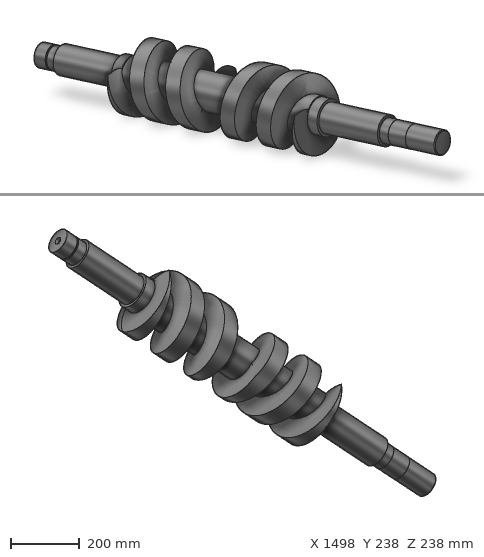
import cadquery as cq

shaft_length = 1498.0
left_shoulder = 80.0
left_collar_start = 303.0
right_journal_end = 1291.0
right_seat_start = 1324.0
right_tip_start = 1388.0
end_diameter = 78.0
seat_step = 0.3
tip_chamfer = 3.0
journal_diameter = 96.0
collar_diameter = 114.0
core_diameter = 120.0

ring_groove_start = 42.0
ring_groove_width = 5.0
ring_groove_depth = 1.0

centre_mouth_diameter = 22.0
centre_pilot_diameter = 9.0
centre_cone_depth = 7.0
centre_pilot_depth = 18.0

worm_start = 338.0
worm_length = 297.0
worm_gap = 105.0
worm_diameter = 238.0
worm_pitch = 135.0
crest_half = 27.0
shallow_root_half = 45.0
steep_root_half = 35.0
helix_turns = 5
turns_to_phase = 2.75
root_overlap = 5.0
phase_station = 451.0

seat_diameter = end_diameter - 2 * seat_step
tip_diameter = seat_diameter - 2 * seat_step
core_length = 2 * worm_length + worm_gap
core_end = worm_start + core_length
middle = worm_start + core_length / 2
right_collar_end = core_end + worm_start - left_collar_start


def cylinder(start, end, diameter):
    """Solid cylinder on the X axis between two stations."""
    return cq.Workplane("YZ", origin=(start, 0, 0)).circle(diameter / 2).extrude(end - start)


def stepped_shaft():
    """Plain turned shaft with its right tip chamfered."""
    steps = [
        (0, left_shoulder, end_diameter),
        (left_shoulder, left_collar_start, journal_diameter),
        (left_collar_start, worm_start, collar_diameter),
        (worm_start, core_end, core_diameter),
        (core_end, right_collar_end, collar_diameter),
        (right_collar_end, right_journal_end, journal_diameter),
        (right_journal_end, right_seat_start, end_diameter),
        (right_seat_start, right_tip_start, seat_diameter),
        (right_tip_start, shaft_length, tip_diameter),
    ]
    shaft = cylinder(*steps[0])
    for step in steps[1:]:
        shaft = shaft.union(cylinder(*step))
    return shaft.faces(">X").chamfer(tip_chamfer)


def left_thread():
    """Right-handed buttress thread, trimmed square at both ends of its section."""
    core_radius = core_diameter / 2
    worm_radius = worm_diameter / 2
    root_radius = core_radius - root_overlap
    overlap_ratio = root_overlap / (worm_radius - core_radius)
    shallow_base = shallow_root_half + (shallow_root_half - crest_half) * overlap_ratio
    steep_base = steep_root_half + (steep_root_half - crest_half) * overlap_ratio

    helix_height = helix_turns * worm_pitch
    helix = cq.Wire.makeHelix(worm_pitch, helix_height, core_radius)
    thread = (
        cq.Workplane("XZ")
        .polyline([
            (root_radius, -shallow_base),
            (worm_radius, -crest_half),
            (worm_radius, crest_half),
            (root_radius, steep_base),
        ])
        .close()
        .sweep(cq.Workplane(helix), isFrenet=True)
    )
    thread = thread.rotate((0, 0, 0), (0, 1, 0), 90)
    thread = thread.translate((phase_station - turns_to_phase * worm_pitch, 0, 0))
    section = cq.Workplane("XY").box(worm_length, 2 * worm_diameter, 2 * worm_diameter)
    return thread.intersect(section.translate((worm_start + worm_length / 2, 0, 0)))


def ring_groove():
    """Shallow ring to remove near the left end."""
    groove_end = ring_groove_start + ring_groove_width
    groove_floor = cylinder(ring_groove_start, groove_end, end_diameter - 2 * ring_groove_depth)
    return cylinder(ring_groove_start, groove_end, end_diameter).cut(groove_floor)


def centre_hole():
    """Conical mouth followed by a pilot hole, entering the left end."""
    return (
        cq.Workplane("XY")
        .polyline([
            (0, 0),
            (0, centre_mouth_diameter / 2),
            (centre_cone_depth, centre_pilot_diameter / 2),
            (centre_pilot_depth, centre_pilot_diameter / 2),
            (centre_pilot_depth, 0),
        ])
        .close()
        .revolve(360, (0, 0, 0), (1, 0, 0))
    )


thread = left_thread()
mirrored_thread = thread.mirror("YZ", (middle, 0, 0))
part = stepped_shaft().union(thread).union(mirrored_thread)
result = part.cut(ring_groove()).cut(centre_hole())